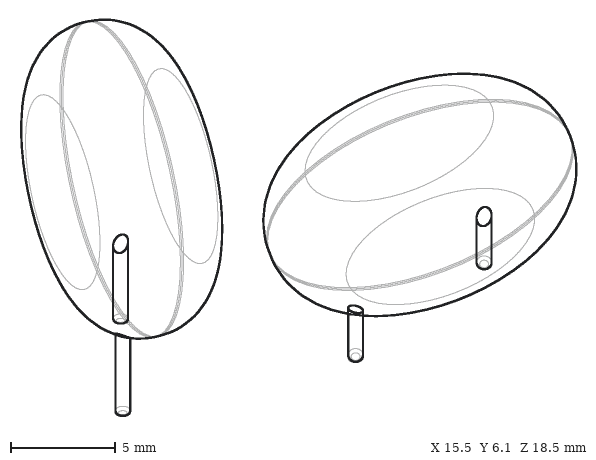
import cadquery as cq

body_diameter = 15.5
body_thickness = 6.1
rim_radius = 2.96

total_height = 18.53
lead_diameter = 0.72
lead_spacing_x = 7.5
lead_spacing_y = 2.9
lead_tip_rounding = 0.15
lead_top_z = -3.7

lead_bottom_z = body_diameter / 2 - total_height


def make_body():
    disc = cq.Workplane("XZ").circle(body_diameter / 2).extrude(body_thickness / 2, both=True)
    return disc.edges().fillet(rim_radius)


def make_lead(x, y):
    lead = (
        cq.Workplane("XY", origin=(x, y, lead_bottom_z))
        .circle(lead_diameter / 2)
        .extrude(lead_top_z - lead_bottom_z)
    )
    return lead.faces("<Z").edges().fillet(lead_tip_rounding)


result = make_body()
for side in (-1, 1):
    result = result.union(make_lead(side * lead_spacing_x / 2, -side * lead_spacing_y / 2))